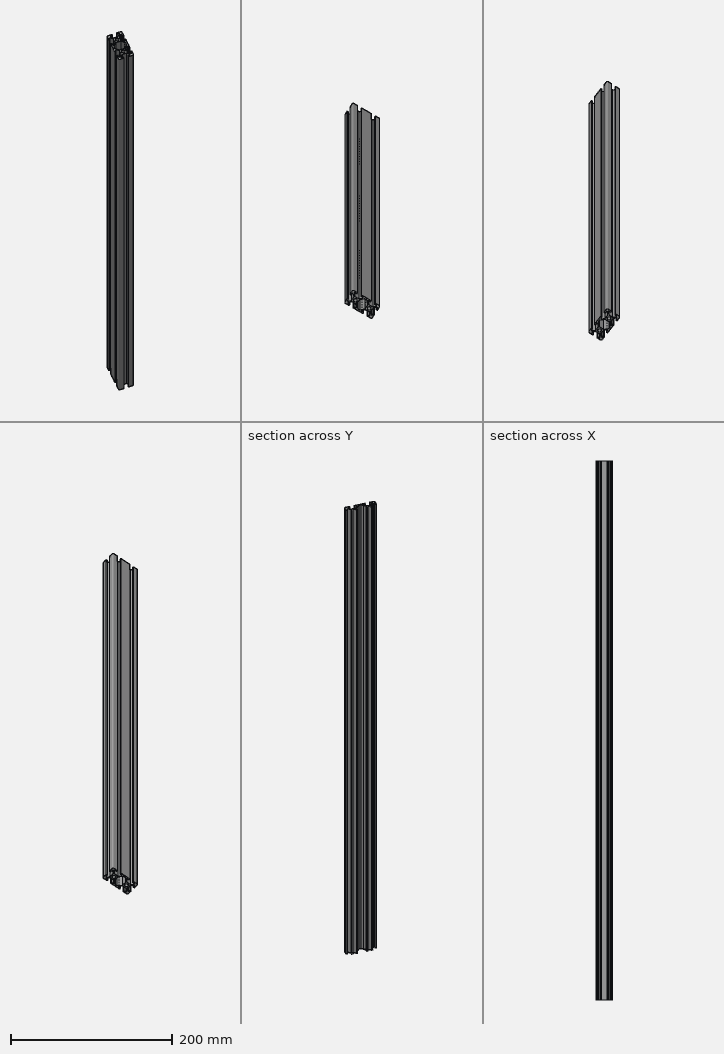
import cadquery as cq

length = 670.0
cell_size = 20.0
cell_count = 2
corner_radius = 1.8

mouth_half_width = 3.0
inner_half_width = 5.95
floor_half_width = 2.9
lip_thickness = 1.8
core_half_width = 4.0

bore_radius = 2.2
cavity_half_width = 6.15
cavity_wall = 2.1
cavity_chamfer = 4.75

cell_half = cell_size / 2
cell_centers = [(i - (cell_count - 1) / 2) * cell_size for i in range(cell_count)]


def mirrored_prism(right_side):
    """Full-length prism whose outline is the given right side and its mirror image in the Y axis."""
    left_side = [(-x, y) for x, y in reversed(right_side)]
    return cq.Workplane("XY").polyline(right_side + left_side).close().extrude(length)


def slot_cutter():
    """T-slot opening toward +Y in a cell centred on the origin, tapered to its floor at 45 degrees."""
    shoulder_y = core_half_width + inner_half_width - floor_half_width
    lip_y = cell_half - lip_thickness
    return mirrored_prism([
        (floor_half_width, core_half_width),
        (inner_half_width, shoulder_y),
        (inner_half_width, lip_y),
        (mouth_half_width, lip_y),
        (mouth_half_width, cell_half),
    ])


def cavity_cutter():
    """Octagonal channel between the two cells."""
    cavity_half_height = cell_half - cavity_wall
    top_x = cavity_half_width - cavity_chamfer
    side_y = cavity_half_height - cavity_chamfer
    return mirrored_prism([
        (top_x, -cavity_half_height),
        (cavity_half_width, -side_y),
        (cavity_half_width, side_y),
        (top_x, cavity_half_height),
    ])


result = cq.Workplane("XY").rect(cell_count * cell_size, cell_size).extrude(length)
result = result.edges("|Z").fillet(corner_radius)

slot_places = [(center_x, turn) for center_x in cell_centers for turn in (0, 180)]
slot_places += [(cell_centers[0], 90), (cell_centers[-1], -90)]
slot = slot_cutter()
for center_x, turn in slot_places:
    turned_slot = slot.rotate((0, 0, 0), (0, 0, 1), turn)
    result = result.cut(turned_slot.translate((center_x, 0, 0)))

bore_points = [(center_x, 0) for center_x in cell_centers]
bores = cq.Workplane("XY").pushPoints(bore_points).circle(bore_radius).extrude(length)
result = result.cut(bores).cut(cavity_cutter())